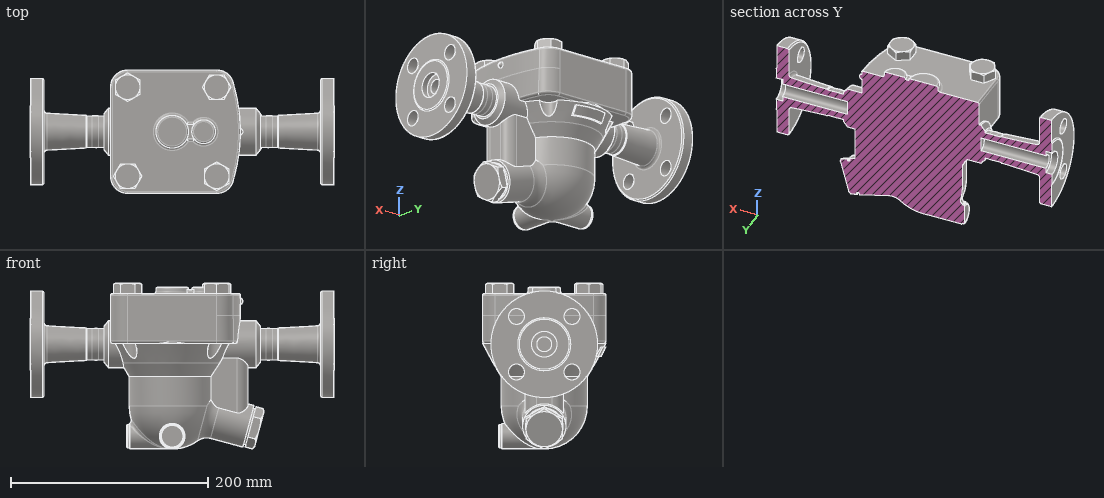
import cadquery as cq
import math


END_X = 154.5
RAISED_FACE_HEIGHT = 1.0
RAISED_FACE_R = 25.3
RAISED_FACE_BASE_R = 27.0
FLANGE_R = 54.0
FLANGE_BACK_X = 140.0
FLANGE_CHAMFER = 1.5
FLANGE_HOLE_D = 16.0
FLANGE_HOLE_PITCH = 56.2
HUB_FILLET = 3.0
HUB_R = 19.0
HUB_END_X = 97.5
HUB_END_R = 16.7
NECK_R = 16.0
NECK_STEP = 1.0
WELD_START_X = 91.5
WELD_END_X = 84.7
WELD_RISE = 0.3
SOCKET_D = 26.0
SOCKET_DEPTH = 7.0
BORE_D = 15.0

PORT_R = 23.95
PORT_FACE_R = 18.2
PORT_FACE_X = 79.5
PORT_CHAMFER_X = 74.8

AXIS_X = -10.2
BOWL_R = 44.0
DOME_Z = -62.5
CONE_BOTTOM_Z = -32.5
CONE_MIDDLE_Z = -19.2
CONE_MIDDLE_R = 52.0
CONE_TOP_R = 62.5

PAD_TOP_Z = -2.8
PAD_TOP_R = 62.5
PAD_BOTTOM_Z = -12.5
PAD_BOTTOM_R = 57.8
PAD_HALF_WIDTH = 19.5

FLANGE_BOTTOM_Z = 0.5
PARTING_Z = 29.0
COVER_TOP_Z = 51.3
COVER_HALF_WIDTH = 62.57
BOLT_OFFSET = 45.0
CORNER_R = COVER_HALF_WIDTH - BOLT_OFFSET
BOW_X = 59.0
BOW_DRAFT = 2.0
COVER_TOP_FILLET = 2.0
BODY_BOTTOM_FILLET = 2.8
BOLT_RELIEF_R = 9.3
BOLT_RELIEF_DEPTH = 18.5

BOLT_FLATS = 25.0
BOLT_TOP_Z = 61.8
HEX_CHAMFER_ANGLE = 30.0

DISC_HEIGHT = 6.5
DISC_FLARE = 2.5
DISC_EDGE_R = 2.0
LARGE_DISC_R = 33.0 / 2
SMALL_DISC_R = 24.0 / 2
SMALL_DISC_X = AXIS_X + 31.8
BRIDGE_HEIGHT = 4.0
BRIDGE_HALF_WIDTH = 7.5

NUB_R = 3.5
NUB_Z = 43.5
NUB_X = 58.0

DRAIN_R = 13.0
DRAIN_RISE = 0.15
DRAIN_Z = DOME_Z - BOWL_R + DRAIN_R + DRAIN_RISE
DRAIN_BOSS_LENGTH = 43.5
DRAIN_BOSS_CHAMFER = 1.0
DRAIN_BOSS_FILLET = 3.0
PLUG_R = 24.0 / 2
PLUG_FACE_R = 22.0 / 2
PLUG_LENGTH = 46.5

STRAINER_TILT = 15.0
STRAINER_R = 22.0
STRAINER_FILLET = 15.5
STRAINER_LENGTH = 80.0
STRAINER_NECK_R = 38.0 / 2
CAP_FLATS = 36.8
CAP_START = 82.2
CAP_END = 91.5

PASSAGE_X = 66.7
PASSAGE_HALF_WIDTH = 19.5
PASSAGE_CORNER_R = 11.5


def hex_head(flats, height, turn):
    """Hexagonal head standing on Z = 0, with its top corners turned off by a cone."""
    corner_r = flats / 2 / math.cos(math.pi / 6)
    chamfer_rise = (corner_r - flats / 2) * math.tan(math.radians(HEX_CHAMFER_ANGLE))
    head = cq.Workplane("XY").polygon(6, 2 * corner_r).extrude(height)
    turned = (
        cq.Workplane("XZ")
        .polyline([
            (0, 0),
            (corner_r, 0),
            (corner_r, height - chamfer_rise),
            (flats / 2, height),
            (0, height),
        ])
        .close()
        .revolve(360, (0, 0, 0), (0, 1, 0))
    )
    return head.intersect(turned).rotate((0, 0, 0), (0, 0, 1), turn)


def pipe_end():
    """Outlet-side flange, hub, welded neck and port as one turned solid along +X."""
    flange_face_x = END_X - RAISED_FACE_HEIGHT
    weld_middle_x = (WELD_START_X + WELD_END_X) / 2
    fillet_edge_r = HUB_R + HUB_FILLET
    fillet_cut = HUB_FILLET * math.sqrt(0.5)
    return (
        cq.Workplane("XY")
        .moveTo(END_X, 0)
        .lineTo(END_X, RAISED_FACE_R)
        .lineTo(flange_face_x, RAISED_FACE_BASE_R)
        .lineTo(flange_face_x, FLANGE_R)
        .lineTo(FLANGE_BACK_X + FLANGE_CHAMFER, FLANGE_R)
        .lineTo(FLANGE_BACK_X, FLANGE_R - FLANGE_CHAMFER)
        .lineTo(FLANGE_BACK_X, fillet_edge_r)
        .threePointArc(
            (FLANGE_BACK_X - HUB_FILLET + fillet_cut, fillet_edge_r - fillet_cut),
            (FLANGE_BACK_X - HUB_FILLET, HUB_R),
        )
        .lineTo(HUB_END_X, HUB_END_R)
        .lineTo(HUB_END_X - NECK_STEP, NECK_R)
        .lineTo(WELD_START_X, NECK_R)
        .threePointArc((weld_middle_x, NECK_R + WELD_RISE), (WELD_END_X, NECK_R))
        .lineTo(PORT_FACE_X, NECK_R)
        .lineTo(PORT_FACE_X, PORT_FACE_R)
        .lineTo(PORT_CHAMFER_X, PORT_R)
        .lineTo(0, PORT_R)
        .lineTo(0, 0)
        .close()
        .revolve(360, (0, 0, 0), (1, 0, 0))
    )


def pipe_end_cuts():
    """Stepped blind bore and bolt holes of the outlet-side flange."""
    face = cq.Workplane("YZ", origin=(END_X, 0, 0))
    socket = face.circle(SOCKET_D / 2).extrude(-SOCKET_DEPTH)
    bore = face.circle(BORE_D / 2).extrude(PORT_CHAMFER_X - END_X)
    holes = (
        face.rect(FLANGE_HOLE_PITCH, FLANGE_HOLE_PITCH, forConstruction=True)
        .vertices()
        .circle(FLANGE_HOLE_D / 2)
        .extrude(FLANGE_BACK_X - END_X)
    )
    return socket.union(bore).union(holes)


def bowl():
    """Turned bowl: two-slope cone, cylinder and hemispherical bottom."""
    dome_cut = BOWL_R * math.sqrt(0.5)
    return (
        cq.Workplane("XZ", origin=(AXIS_X, 0, 0))
        .moveTo(0, PARTING_Z)
        .lineTo(CONE_TOP_R, PARTING_Z)
        .lineTo(CONE_TOP_R, FLANGE_BOTTOM_Z)
        .lineTo(CONE_MIDDLE_R, CONE_MIDDLE_Z)
        .lineTo(BOWL_R, CONE_BOTTOM_Z)
        .lineTo(BOWL_R, DOME_Z)
        .threePointArc((dome_cut, DOME_Z - dome_cut), (0, DOME_Z - BOWL_R))
        .close()
        .revolve(360, (0, 0, 0), (0, 1, 0))
    )


def cone_pad():
    """Thin pad following the cone, between two planes square to X."""
    band = (
        cq.Workplane("XZ", origin=(AXIS_X, 0, 0))
        .polyline([
            (0, PAD_TOP_Z),
            (PAD_TOP_R, PAD_TOP_Z),
            (PAD_BOTTOM_R, PAD_BOTTOM_Z),
            (0, PAD_BOTTOM_Z),
        ])
        .close()
        .revolve(360, (0, 0, 0), (0, 1, 0))
    )
    strip = (
        cq.Workplane("XY", origin=(AXIS_X, PAD_TOP_R / 2, PAD_BOTTOM_Z))
        .rect(2 * PAD_HALF_WIDTH, PAD_TOP_R)
        .extrude(PAD_TOP_Z - PAD_BOTTOM_Z)
    )
    return band.intersect(strip)


def drain_boss():
    """Boss lying along -X from the bowl axis."""
    return (
        cq.Workplane("YZ", origin=(AXIS_X, 0, DRAIN_Z))
        .circle(DRAIN_R)
        .extrude(-DRAIN_BOSS_LENGTH)
        .faces("<X")
        .chamfer(DRAIN_BOSS_CHAMFER)
    )


def drain_plug():
    """Chamfered plug along -X, ending beyond the face of its boss."""
    return (
        cq.Workplane("YZ", origin=(AXIS_X, 0, DRAIN_Z))
        .circle(PLUG_R)
        .extrude(-PLUG_LENGTH)
        .faces("<X")
        .chamfer(PLUG_R - PLUG_FACE_R)
    )


def turned_to_minus_y(shape):
    """Turn a shape that points along -X about the bowl axis, so that it points along -Y."""
    return shape.rotate((AXIS_X, 0, 0), (AXIS_X, 0, 1), 90)


def filleted_drain_boss():
    """Boss along -X blended into a ball matching the dome, faced off after blending."""
    ball = cq.Workplane("XY", origin=(AXIS_X, 0, DOME_Z)).sphere(BOWL_R)
    long_boss = (
        cq.Workplane("YZ", origin=(AXIS_X, 0, DRAIN_Z))
        .circle(DRAIN_R)
        .extrude(-2 * BOWL_R)
    )
    blend = ball.union(long_boss).edges("%BSPLINE").fillet(DRAIN_BOSS_FILLET)
    keep = (
        cq.Workplane("YZ", origin=(AXIS_X, 0, DOME_Z))
        .rect(2 * BOWL_R, 2 * BOWL_R)
        .extrude(-DRAIN_BOSS_LENGTH)
    )
    return blend.intersect(keep).faces("<X").chamfer(DRAIN_BOSS_CHAMFER)


def bow_circle(bow_tip_x):
    """Centre X and radius of the bowed side, tangent inside to both +X corner arcs."""
    corner_x = AXIS_X + BOLT_OFFSET
    reach = bow_tip_x - CORNER_R - corner_x
    half_chord = (BOLT_OFFSET ** 2 - reach ** 2) / (2 * reach)
    return corner_x - half_chord, half_chord + reach + CORNER_R


def cover_outline(plane, bow_tip_x):
    """Square outline with round corners and a +X side bowed out to bow_tip_x."""
    left = AXIS_X - COVER_HALF_WIDTH
    left_corner_x = AXIS_X - BOLT_OFFSET
    right_corner_x = AXIS_X + BOLT_OFFSET
    bow_x, bow_r = bow_circle(bow_tip_x)
    tangent_angle = math.atan2(BOLT_OFFSET, right_corner_x - bow_x)
    tangent_x = bow_x + bow_r * math.cos(tangent_angle)
    tangent_y = bow_r * math.sin(tangent_angle)
    middle_angle = (tangent_angle + math.pi / 2) / 2
    middle_x = right_corner_x + CORNER_R * math.cos(middle_angle)
    middle_y = BOLT_OFFSET + CORNER_R * math.sin(middle_angle)
    corner_cut = BOLT_OFFSET + CORNER_R * math.sqrt(0.5)
    return (
        plane
        .moveTo(left_corner_x, -COVER_HALF_WIDTH)
        .lineTo(right_corner_x, -COVER_HALF_WIDTH)
        .threePointArc((middle_x, -middle_y), (tangent_x, -tangent_y))
        .threePointArc((bow_tip_x, 0), (tangent_x, tangent_y))
        .threePointArc((middle_x, middle_y), (right_corner_x, COVER_HALF_WIDTH))
        .lineTo(left_corner_x, COVER_HALF_WIDTH)
        .threePointArc((AXIS_X - corner_cut, corner_cut), (left, BOLT_OFFSET))
        .lineTo(left, -BOLT_OFFSET)
        .threePointArc((AXIS_X - corner_cut, -corner_cut), (left_corner_x, -COVER_HALF_WIDTH))
        .close()
    )


def cover():
    parting = cq.Workplane("XY", origin=(0, 0, PARTING_Z))
    plate = cover_outline(parting, BOW_X).extrude(COVER_TOP_Z - PARTING_Z)
    return plate.faces(">Z").edges().fillet(COVER_TOP_FILLET)


def body_flange():
    """Upper part of the body, drafted inward on its bowed side and rounded below."""
    bottom = cq.Workplane("XY", origin=(0, 0, FLANGE_BOTTOM_Z))
    lower_outline = cover_outline(bottom, BOW_X - BOW_DRAFT)
    parting = lower_outline.workplane(offset=PARTING_Z - FLANGE_BOTTOM_Z)
    block = cover_outline(parting, BOW_X).loft(ruled=True)
    return block.faces("<Z").edges().fillet(BODY_BOTTOM_FILLET)


def bolt_positions():
    return [
        (AXIS_X + side_x * BOLT_OFFSET, side_y * BOLT_OFFSET)
        for side_x in (-1, 1)
        for side_y in (-1, 1)
    ]


def bolt_reliefs():
    """Round clearances cut down into the cone below each bolt."""
    return (
        cq.Workplane("XY", origin=(0, 0, FLANGE_BOTTOM_Z))
        .pushPoints(bolt_positions())
        .circle(BOLT_RELIEF_R)
        .extrude(-BOLT_RELIEF_DEPTH)
    )


def bolts():
    """Four hex heads; neighbouring heads are turned 30 degrees to each other."""
    heads = cq.Workplane("XY")
    for x, y in bolt_positions():
        turn = 0 if (x - AXIS_X) * y > 0 else 30
        head = hex_head(BOLT_FLATS, BOLT_TOP_Z - COVER_TOP_Z, turn)
        heads = heads.add(head.translate((x, y, COVER_TOP_Z)))
    return heads.combine()


def raised_disc(x, radius):
    """Disc on the cover with a flared foot and a rounded top edge."""
    flare_cut = DISC_FLARE * (1 - math.sqrt(0.5))
    edge_cut = DISC_EDGE_R * (1 - math.sqrt(0.5))
    edge_middle = (radius - edge_cut, DISC_HEIGHT - edge_cut)
    return (
        cq.Workplane("XZ", origin=(x, 0, COVER_TOP_Z))
        .lineTo(radius + DISC_FLARE, 0)
        .threePointArc((radius + flare_cut, flare_cut), (radius, DISC_FLARE))
        .lineTo(radius, DISC_HEIGHT - DISC_EDGE_R)
        .threePointArc(edge_middle, (radius - DISC_EDGE_R, DISC_HEIGHT))
        .lineTo(0, DISC_HEIGHT)
        .close()
        .revolve(360, (0, 0, 0), (0, 1, 0))
    )


def disc_bridge():
    """Low flared bar joining the two discs."""
    foot = BRIDGE_HALF_WIDTH + DISC_FLARE
    flare_cut = DISC_FLARE * (1 - math.sqrt(0.5))
    return (
        cq.Workplane("YZ", origin=(AXIS_X, 0, COVER_TOP_Z))
        .moveTo(-foot, 0)
        .lineTo(foot, 0)
        .threePointArc((BRIDGE_HALF_WIDTH + flare_cut, flare_cut), (BRIDGE_HALF_WIDTH, DISC_FLARE))
        .lineTo(BRIDGE_HALF_WIDTH, BRIDGE_HEIGHT)
        .lineTo(-BRIDGE_HALF_WIDTH, BRIDGE_HEIGHT)
        .lineTo(-BRIDGE_HALF_WIDTH, DISC_FLARE)
        .threePointArc((-BRIDGE_HALF_WIDTH - flare_cut, flare_cut), (-foot, 0))
        .close()
        .extrude(SMALL_DISC_X - AXIS_X)
    )


def strainer():
    """Tilted branch with a hex cap; its axis passes through the dome centre."""
    centre_r = STRAINER_R + STRAINER_FILLET
    centre_reach = BOWL_R + STRAINER_FILLET
    fillet_end = math.sqrt(centre_reach ** 2 - centre_r ** 2)
    touch = BOWL_R / centre_reach
    half_sweep = math.atan2(fillet_end, centre_r) / 2
    middle = (
        centre_r - STRAINER_FILLET * math.cos(half_sweep),
        fillet_end - STRAINER_FILLET * math.sin(half_sweep),
    )
    branch = (
        cq.Workplane("XZ")
        .lineTo(centre_r * touch, fillet_end * touch)
        .threePointArc(middle, (STRAINER_R, fillet_end))
        .lineTo(STRAINER_R, STRAINER_LENGTH)
        .lineTo(STRAINER_NECK_R, STRAINER_LENGTH)
        .lineTo(STRAINER_NECK_R, CAP_START)
        .lineTo(0, CAP_START)
        .close()
        .revolve(360, (0, 0, 0), (0, 1, 0))
    )
    cap = hex_head(CAP_FLATS, CAP_END - CAP_START, 0).translate((0, 0, CAP_START))
    return (
        branch.union(cap)
        .rotate((0, 0, 0), (0, 1, 0), 90 + STRAINER_TILT)
        .translate((AXIS_X, 0, DOME_Z))
    )


def passage():
    """Wall from the flow axis down to the strainer axis, rounded on its outer corners."""
    length = PASSAGE_X - AXIS_X
    drop = length * math.tan(math.radians(STRAINER_TILT))
    return (
        cq.Workplane("XY", origin=(AXIS_X + length / 2, 0, DOME_Z - drop))
        .rect(length, 2 * PASSAGE_HALF_WIDTH)
        .extrude(drop - DOME_Z)
        .edges("|Z and >X")
        .fillet(PASSAGE_CORNER_R)
    )


def nub():
    return cq.Workplane("XY", origin=(NUB_X, 0, NUB_Z)).sphere(NUB_R)


outlet = pipe_end()
inlet = outlet.mirror("YZ")
end_cuts = pipe_end_cuts()

result = bowl().cut(bolt_reliefs())
for piece in (
    cone_pad(),
    filleted_drain_boss(),
    turned_to_minus_y(drain_boss()),
    drain_plug(),
    turned_to_minus_y(drain_plug()),
    strainer(),
    passage(),
    outlet,
    inlet,
    body_flange(),
    cover(),
    bolts(),
    raised_disc(AXIS_X, LARGE_DISC_R),
    raised_disc(SMALL_DISC_X, SMALL_DISC_R),
    disc_bridge(),
    nub(),
):
    result = result.union(piece)
result = result.cut(end_cuts).cut(end_cuts.mirror("YZ"))